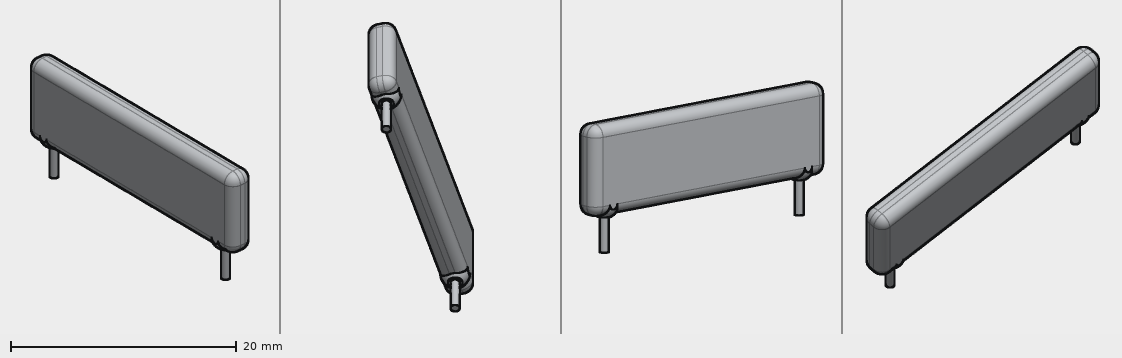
import cadquery as cq

housing_length = 27.43
housing_thickness = 2.55
housing_height = 8.35
edge_radius = 1.01

lead_diameter = 0.82
lead_spacing = 22.88
total_height = 11.85

foot_drop = 0.25
foot_bottom_radius = 0.65
foot_middle_radius = 1.15
foot_middle_height = 0.27
foot_top_radius = 1.35

lead_bottom = housing_height - total_height
lead_positions = (-lead_spacing / 2, lead_spacing / 2)


def make_foot(x):
    """Round collar with a bulging flare, trimmed flush with the housing's flat sides."""
    flare = (
        cq.Workplane("XZ")
        .moveTo(0, -foot_drop)
        .lineTo(foot_bottom_radius, -foot_drop)
        .threePointArc((foot_middle_radius, foot_middle_height), (foot_top_radius, edge_radius))
        .lineTo(0, edge_radius)
        .close()
        .revolve(360, (0, 0, 0), (0, 1, 0))
    )
    trim = cq.Workplane("XY").box(2 * foot_top_radius, housing_thickness, housing_height)
    return flare.intersect(trim).translate((x, 0, 0))


def make_housing():
    """Rounded block carrying one foot above each lead."""
    housing = (
        cq.Workplane("XY")
        .box(housing_length, housing_thickness, housing_height, centered=(True, True, False))
        .edges()
        .fillet(edge_radius)
    )
    for x in lead_positions:
        housing = housing.union(make_foot(x))
    return housing


def make_lead(x):
    """Straight wire that meets the underside of its foot."""
    return (
        cq.Workplane("XY", origin=(x, 0, lead_bottom))
        .circle(lead_diameter / 2)
        .extrude(-foot_drop - lead_bottom)
    )


housing = make_housing()
leads = [make_lead(x).val() for x in lead_positions]

result = cq.Compound.makeCompound([housing.solids().val(), *leads])